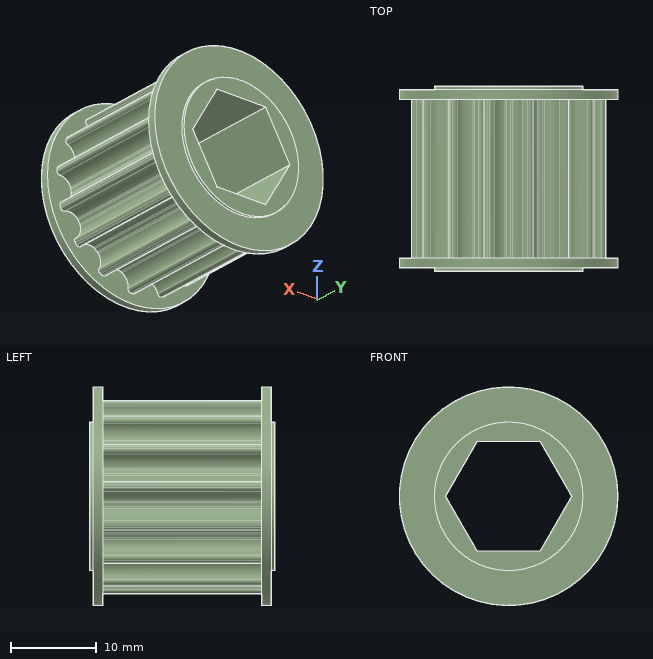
import cadquery as cq
import math

total_length = 21.55
flange_diameter = 25.43
flange_thickness = 1.15
boss_diameter = 17.27
boss_height = 0.4
hex_across_flats = 12.7

tooth_count = 15
tip_radius = 11.35
groove_radius = 1.7
groove_center_distance = 10.88
floor_half_width = 0.236
floor_fillet_radius = 0.8
tip_fillet_radius = 0.43

boss_radius = boss_diameter / 2
flange_radius = flange_diameter / 2
flange_outer_y = total_length / 2 - boss_height
flange_inner_y = flange_outer_y - flange_thickness
rim_length = 2 * flange_inner_y
hex_across_corners = hex_across_flats / math.cos(math.pi / 6)


def disc(radius, half_length):
    """Cylinder on the Y axis, centred on the origin."""
    return cq.Workplane("XZ").circle(radius).extrude(half_length, both=True)


def rotated(point, angle):
    """Turn an (x, z) point clockwise about the axis, starting from +Z."""
    x, z = point
    cosine = math.cos(angle)
    sine = math.sin(angle)
    return (x * cosine + z * sine, z * cosine - x * sine)


def arc_point(center, radius, angle):
    """Point on a circle at an angle measured from +X towards +Z."""
    return (center[0] + radius * math.cos(angle), center[1] + radius * math.sin(angle))


def mirrored(point):
    """Reflect an (x, z) point to the other side of the groove on +Z."""
    return (-point[0], point[1])


def groove_half():
    """Points of half a groove, from the floor outward to the tip circle.

    The groove is centred on +Z. A floor fillet, a concave wall and a tip fillet follow
    the flat floor, each tangent to the one before. The tip fillet ends on the tip circle.
    """
    wall_center = (0, groove_center_distance)

    floor_orbit = groove_radius - floor_fillet_radius
    floor_drop = math.sqrt(floor_orbit**2 - floor_half_width**2)
    floor_center = (floor_half_width, groove_center_distance - floor_drop)
    wall_start_angle = math.atan2(-floor_drop, floor_half_width)

    tip_orbit = tip_radius - tip_fillet_radius
    wall_orbit = groove_radius + tip_fillet_radius
    square_sum = tip_orbit**2 - wall_orbit**2 + groove_center_distance**2
    tip_center_z = square_sum / (2 * groove_center_distance)
    tip_center = (math.sqrt(tip_orbit**2 - tip_center_z**2), tip_center_z)
    wall_end_angle = math.atan2(tip_center_z - groove_center_distance, tip_center[0])
    tip_start_angle = wall_end_angle + math.pi
    tip_end_angle = math.atan2(tip_center[1], tip_center[0])

    floor_middle_angle = (wall_start_angle - math.pi / 2) / 2
    wall_middle_angle = (wall_start_angle + wall_end_angle) / 2
    tip_middle_angle = (tip_start_angle + tip_end_angle) / 2
    return [
        arc_point(floor_center, floor_fillet_radius, -math.pi / 2),
        arc_point(floor_center, floor_fillet_radius, floor_middle_angle),
        arc_point(floor_center, floor_fillet_radius, wall_start_angle),
        arc_point(wall_center, groove_radius, wall_middle_angle),
        arc_point(wall_center, groove_radius, wall_end_angle),
        arc_point(tip_center, tip_fillet_radius, tip_middle_angle),
        arc_point(tip_center, tip_fillet_radius, tip_end_angle),
    ]


def toothed_rim():
    """Rim with round-bottomed grooves, one of them centred on +Z."""
    right_half = groove_half()
    left_half = [mirrored(point) for point in reversed(right_half)]
    pitch_angle = 2 * math.pi / tooth_count
    tooth_tip = rotated((0, tip_radius), pitch_angle / 2)

    outline = cq.Workplane("XZ", origin=(0, flange_inner_y, 0)).moveTo(*left_half[0])
    for groove in range(tooth_count):
        angle = groove * pitch_angle
        left = [rotated(point, angle) for point in left_half]
        right = [rotated(point, angle) for point in right_half]
        next_groove_start = rotated(left_half[0], angle + pitch_angle)
        outline = (
            outline
            .threePointArc(left[1], left[2])
            .threePointArc(left[3], left[4])
            .threePointArc(left[5], left[6])
            .lineTo(*right[0])
            .threePointArc(right[1], right[2])
            .threePointArc(right[3], right[4])
            .threePointArc(right[5], right[6])
            .threePointArc(rotated(tooth_tip, angle), next_groove_start)
        )
    return outline.close().extrude(rim_length)


def flanges():
    """The two flange plates, with a gap between them for the rim."""
    return disc(flange_radius, flange_outer_y).cut(disc(flange_radius, flange_inner_y))


def hub():
    """Core through the whole pulley that ends in a low boss on each flange."""
    return disc(boss_radius, total_length / 2)


def hex_bore():
    """Through bore with two flats facing +Z and -Z."""
    return cq.Workplane("XZ").polygon(6, hex_across_corners).extrude(total_length, both=True)


result = toothed_rim().union(flanges()).union(hub()).cut(hex_bore())